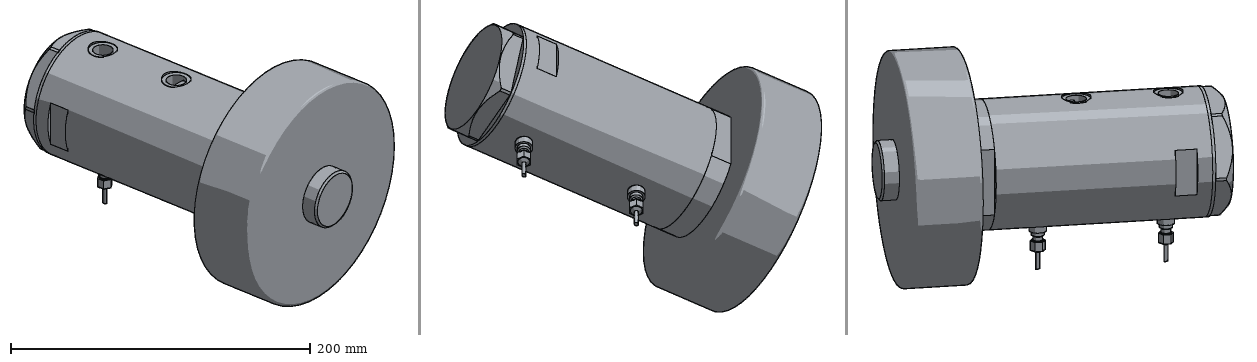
import cadquery as cq
import math


TOTAL_LENGTH = 235.5
HOUSING_START = 15.3
HOUSING_END = 162.5
FLANGE_START = 177.5
FLANGE_END = 224.0

CAP_ACROSS_FLATS = 76.0
CAP_CORNER_RADIUS = 43.3
CAP_FACE_RADIUS = 37.7
CAP_BEVEL_ANGLE = 45.0
CAP_TILT = -7.6
CAP_COLLAR_LENGTH = 2.1
CAP_SPIGOT_END = 41.5

HOUSING_RADIUS = 44.0
BORE_RADIUS = 31.5
HOUSING_FLAT_START = 25.5
HOUSING_FLAT_LENGTH = 14.8
HOUSING_FLAT_OFFSET = 41.0

PORT_POSITIONS = (37.5, 100.0)
PORT_RADIUS = 6.8
PORT_SEAT_RADIUS = 10.0
PORT_SEAT_DEPTH = 1.5

GLAND_PLUG_START = 100.5
GLAND_PLUG_RADIUS = 40.0
GLAND_FLAT_OFFSET = 37.5

FLANGE_DIAMETER = 160.0
FLANGE_EDGE_RADIUS = 2.1

ROD_RADIUS = 20.3
ROD_CHAMFER = 1.5

SENSOR_POSITIONS = (39.0, 126.2)
SENSOR_BASE_RADIUS = 6.0
SENSOR_BASE_HEIGHT = 5.0
SENSOR_SHOULDER_RADIUS = 4.5
SENSOR_SHOULDER_HEIGHT = 7.8
SENSOR_NECK_RADIUS = 3.3
SENSOR_NECK_START = 8.7
SENSOR_RING_RADIUS = 3.8
SENSOR_RING_START = 11.3
SENSOR_NUT_START = 12.0
SENSOR_NUT_END = 18.5
SENSOR_NUT_ACROSS_FLATS = 9.0
SENSOR_CONE_RADIUS = 4.0
SENSOR_CONE_END = 20.0
CABLE_RADIUS = 1.5
CABLE_END = 32.3
CABLE_END_SLANT = 0.7
SENSOR_SEAT_DEPTH = 0.5


def x_cylinder(start, end, radius):
    """Solid cylinder on the X axis between two X positions."""
    return cq.Workplane("YZ").workplane(offset=start).circle(radius).extrude(end - start)


def side_cutter(start, end, offset):
    """Pair of blocks that mill flats at Y = +offset and Y = -offset."""
    depth = HOUSING_RADIUS
    cutter = cq.Workplane("XY")
    for side in (1, -1):
        cutter = cutter.add(
            cq.Workplane("XY")
            .box(end - start, depth, 2 * HOUSING_RADIUS)
            .translate(((start + end) / 2, side * (offset + depth / 2), 0))
        )
    return cutter.combine()


def make_cap():
    """Hexagonal screw cap with a bevelled face, a round collar and a spigot in the bore."""
    collar_start = HOUSING_START - CAP_COLLAR_LENGTH
    hexagon = (
        cq.Workplane("YZ")
        .polygon(6, CAP_ACROSS_FLATS / math.cos(math.pi / 6))
        .extrude(collar_start)
        .rotate((0, 0, 0), (1, 0, 0), CAP_TILT)
    )
    bevel_length = (CAP_CORNER_RADIUS - CAP_FACE_RADIUS) / math.tan(math.radians(CAP_BEVEL_ANGLE))
    turned_envelope = (
        cq.Workplane("XY")
        .polyline([
            (0, 0),
            (0, CAP_FACE_RADIUS),
            (bevel_length, CAP_CORNER_RADIUS),
            (collar_start, CAP_CORNER_RADIUS),
            (collar_start, 0),
        ])
        .close()
        .revolve(360, (0, 0, 0), (1, 0, 0))
    )
    collar = x_cylinder(collar_start, HOUSING_START, HOUSING_RADIUS)
    spigot = x_cylinder(HOUSING_START, CAP_SPIGOT_END, BORE_RADIUS)
    return hexagon.intersect(turned_envelope).union(collar).union(spigot)


def make_port_cutter(position):
    """Vertical port hole into the bore with a flat round seat at the housing surface."""
    hole = cq.Workplane("XY").center(position, 0).circle(PORT_RADIUS).extrude(HOUSING_RADIUS)
    seat = (
        cq.Workplane("XY")
        .workplane(offset=HOUSING_RADIUS - PORT_SEAT_DEPTH)
        .center(position, 0)
        .circle(PORT_SEAT_RADIUS)
        .extrude(PORT_SEAT_DEPTH)
    )
    return hole.union(seat)


def make_housing():
    """Cylinder tube with wrench flats, two ports on top and flat sensor seats underneath."""
    housing = (
        x_cylinder(HOUSING_START, HOUSING_END, HOUSING_RADIUS)
        .cut(x_cylinder(HOUSING_START, GLAND_PLUG_START, BORE_RADIUS))
        .cut(x_cylinder(GLAND_PLUG_START, HOUSING_END, GLAND_PLUG_RADIUS))
    )
    flat_end = HOUSING_FLAT_START + HOUSING_FLAT_LENGTH
    housing = housing.cut(side_cutter(HOUSING_FLAT_START, flat_end, HOUSING_FLAT_OFFSET))
    for position in PORT_POSITIONS:
        housing = housing.cut(make_port_cutter(position))
    for position in SENSOR_POSITIONS:
        seat = (
            cq.Workplane("XY")
            .workplane(offset=-HOUSING_RADIUS)
            .center(position, 0)
            .circle(SENSOR_BASE_RADIUS)
            .extrude(SENSOR_SEAT_DEPTH)
        )
        housing = housing.cut(seat)
    return housing


def make_gland():
    """Rod guide: a plug inside the housing and an outer neck with two wrench flats."""
    plug = x_cylinder(GLAND_PLUG_START, HOUSING_END, GLAND_PLUG_RADIUS)
    neck = x_cylinder(HOUSING_END, FLANGE_START, HOUSING_RADIUS)
    neck = neck.cut(side_cutter(HOUSING_END, FLANGE_START, GLAND_FLAT_OFFSET))
    return plug.union(neck).cut(x_cylinder(GLAND_PLUG_START, FLANGE_START, ROD_RADIUS))


def make_flange():
    """Round mounting flange with rounded rims and a bore for the rod."""
    disc = x_cylinder(FLANGE_START, FLANGE_END, FLANGE_DIAMETER / 2).edges().fillet(FLANGE_EDGE_RADIUS)
    return disc.cut(x_cylinder(FLANGE_START, FLANGE_END, ROD_RADIUS))


def make_rod():
    """Piston rod from the cap spigot to the front end, chamfered at the front."""
    return x_cylinder(CAP_SPIGOT_END, TOTAL_LENGTH, ROD_RADIUS).faces(">X").chamfer(ROD_CHAMFER)


def make_sensor(position):
    """Stepped sensor with a hexagon nut and a cable stub cut off at a slant."""
    turned_profile = [
        (0, SENSOR_SEAT_DEPTH),
        (SENSOR_BASE_RADIUS, SENSOR_SEAT_DEPTH),
        (SENSOR_BASE_RADIUS, -SENSOR_BASE_HEIGHT),
        (SENSOR_SHOULDER_RADIUS, -SENSOR_BASE_HEIGHT),
        (SENSOR_SHOULDER_RADIUS, -SENSOR_SHOULDER_HEIGHT),
        (SENSOR_NECK_RADIUS, -SENSOR_NECK_START),
        (SENSOR_NECK_RADIUS, -SENSOR_RING_START),
        (SENSOR_RING_RADIUS, -SENSOR_RING_START),
        (SENSOR_RING_RADIUS, -SENSOR_NUT_END),
        (SENSOR_CONE_RADIUS, -SENSOR_NUT_END),
        (CABLE_RADIUS, -SENSOR_CONE_END),
        (0, -SENSOR_CONE_END),
    ]
    body = cq.Workplane("XZ").polyline(turned_profile).close().revolve(360, (0, 0, 0), (0, 1, 0))
    nut = (
        cq.Workplane("XY")
        .workplane(offset=-SENSOR_NUT_END)
        .polygon(6, SENSOR_NUT_ACROSS_FLATS / math.cos(math.pi / 6))
        .extrude(SENSOR_NUT_END - SENSOR_NUT_START)
    )
    cable_outline = [
        (-CABLE_RADIUS, -SENSOR_CONE_END),
        (CABLE_RADIUS, -SENSOR_CONE_END),
        (CABLE_RADIUS, -CABLE_END),
        (-CABLE_RADIUS, -CABLE_END + CABLE_END_SLANT),
    ]
    cable_envelope = cq.Workplane("XZ").polyline(cable_outline).close().extrude(CABLE_RADIUS, both=True)
    cable = cq.Workplane("XY").circle(CABLE_RADIUS).extrude(-CABLE_END).intersect(cable_envelope)
    return body.union(nut).union(cable).translate((position, 0, -HOUSING_RADIUS))


cap = make_cap()
housing = make_housing()
gland = make_gland()
flange = make_flange()
rod = make_rod()
sensors = [make_sensor(position) for position in SENSOR_POSITIONS]

result = cq.Compound.makeCompound([
    cap.val(),
    housing.val(),
    gland.val(),
    flange.val(),
    rod.val(),
    *[sensor.val() for sensor in sensors],
])